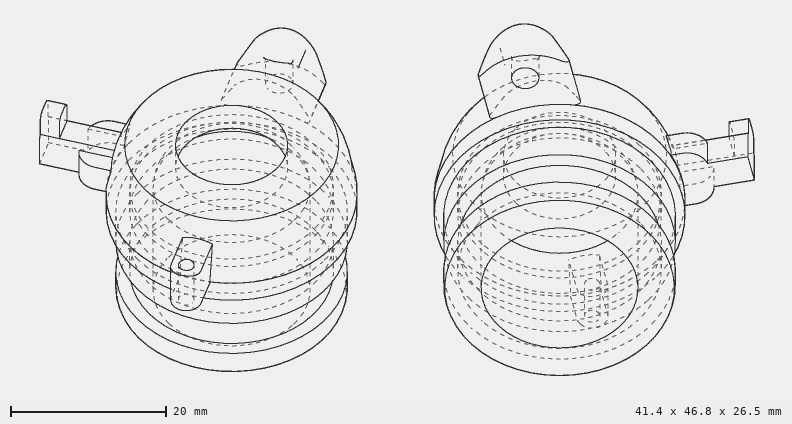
import cadquery as cq
import math

bore_radius = 20.2 / 2
spigot_radius = 26.2 / 2
body_radius = 29.82 / 2
rim_radius = 32.3 / 2

groove_bottom = 3.45
groove_top = 8.95
ring_bottom = 14.4
cap_bottom = 17.5
spigot_top = 18.85
total_height = 26.5

foot_chamfer_width = 0.15
foot_chamfer_height = 0.45

dome_cone_bottom = 18.5
dome_cone_top = 21.5
dome_cone_radius = 15.55
dome_middle = (14.95, 24.1)
dome_top_radius = 27.55 / 2
opening_radius = 14.4 / 2
ceiling_round = 3.5

lug_root = 13.6
lug_top = 23.9

front_lug_radius = 2.0
front_lug_hole_y = -20.0
front_lug_hole_diameter = 2.0
front_lug_edge_height = 23.45

rear_lug_end = 24.8
rear_lug_half_width = 6.0
rear_lug_side_end = 22.05
rear_lug_hole_y = 21.0
rear_lug_hole_diameter = 3.5
rear_lug_hole_round = 1.12
rear_lug_bottom_round = 0.95
rear_roof_side = (rear_lug_half_width, 18.5)
rear_roof_shoulder = (4.35, 21.45)
rear_roof_bend = (3.8, 22.25)
rear_roof_crown_edge = (3.05, 22.85)

lever_y = -0.15
lever_end = -25.2
lever_bottom = 17.75
lever_half_width = 2.0
lever_shoulder_height = 22.05
lever_top = 22.8
tab_length = 2.58
tab_half_width = 1.7
tab_top = 26.35
tab_round = 1.0
wing_end = -19.95
wing_half_width = 4.35
wing_top = 21.75
wing_round = 2.9


def make_sleeve():
    """Grooved tube whose upper spigot carries the ring and the cap."""
    return (
        cq.Workplane("XZ")
        .moveTo(bore_radius, 0)
        .lineTo(body_radius - foot_chamfer_width, 0)
        .lineTo(body_radius, foot_chamfer_height)
        .lineTo(body_radius, groove_bottom)
        .lineTo(spigot_radius, groove_bottom)
        .lineTo(spigot_radius, groove_top)
        .lineTo(body_radius, groove_top)
        .lineTo(body_radius, ring_bottom)
        .lineTo(spigot_radius, ring_bottom)
        .lineTo(spigot_radius, spigot_top)
        .lineTo(bore_radius, spigot_top)
        .close()
        .revolve(360, (0, 0, 0), (0, 1, 0))
    )


def make_ring():
    """Plain ring around the spigot, between the sleeve and the cap."""
    return (
        cq.Workplane("XY", origin=(0, 0, ring_bottom))
        .circle(rim_radius)
        .circle(spigot_radius)
        .extrude(cap_bottom - ring_bottom)
    )


def make_dome():
    """Domed shell with a rounded ceiling and a recess for the spigot."""
    round_center_radius = bore_radius - ceiling_round
    opening_angle = math.acos((opening_radius - round_center_radius) / ceiling_round)

    def ceiling_point(angle):
        return (
            round_center_radius + ceiling_round * math.cos(angle),
            spigot_top + ceiling_round * math.sin(angle),
        )

    return (
        cq.Workplane("XZ")
        .moveTo(spigot_radius, cap_bottom)
        .lineTo(rim_radius, cap_bottom)
        .lineTo(rim_radius, dome_cone_bottom)
        .lineTo(dome_cone_radius, dome_cone_top)
        .threePointArc(dome_middle, (dome_top_radius, total_height))
        .lineTo(opening_radius, total_height)
        .lineTo(*ceiling_point(opening_angle))
        .threePointArc(ceiling_point(opening_angle / 2), ceiling_point(0))
        .lineTo(spigot_radius, spigot_top)
        .lineTo(spigot_radius, cap_bottom)
        .close()
        .revolve(360, (0, 0, 0), (0, 1, 0))
    )


def make_front_lug():
    """Round-ended lug with an arched top and a small vertical hole."""
    plan = (
        cq.Workplane("XY", origin=(0, 0, cap_bottom))
        .moveTo(-front_lug_radius, -lug_root)
        .lineTo(-front_lug_radius, front_lug_hole_y)
        .threePointArc((0, front_lug_hole_y - front_lug_radius), (front_lug_radius, front_lug_hole_y))
        .lineTo(front_lug_radius, -lug_root)
        .close()
        .extrude(lug_top - cap_bottom)
    )
    arch = (
        cq.Workplane("XZ")
        .moveTo(-front_lug_radius, cap_bottom)
        .lineTo(-front_lug_radius, front_lug_edge_height)
        .threePointArc((0, lug_top), (front_lug_radius, front_lug_edge_height))
        .lineTo(front_lug_radius, cap_bottom)
        .close()
        .extrude(front_lug_radius - front_lug_hole_y)
    )
    hole = (
        cq.Workplane("XY", origin=(0, front_lug_hole_y, cap_bottom))
        .circle(front_lug_hole_diameter / 2)
        .extrude(lug_top - cap_bottom)
    )
    return plan.intersect(arch).cut(hole)


def make_rear_lug():
    """Wide roofed lug with a curved end and a hole with a rounded mouth."""
    def mirrored(point):
        return (-point[0], point[1])

    roof = (
        cq.Workplane("XZ", origin=(0, rear_lug_end, 0))
        .moveTo(-rear_lug_half_width, cap_bottom)
        .lineTo(*mirrored(rear_roof_side))
        .lineTo(*mirrored(rear_roof_shoulder))
        .threePointArc(mirrored(rear_roof_bend), mirrored(rear_roof_crown_edge))
        .threePointArc((0, lug_top), rear_roof_crown_edge)
        .threePointArc(rear_roof_bend, rear_roof_shoulder)
        .lineTo(*rear_roof_side)
        .lineTo(rear_lug_half_width, cap_bottom)
        .close()
        .extrude(rear_lug_end - lug_root)
        .edges("|Y and <Z")
        .fillet(rear_lug_bottom_round)
    )
    plan = (
        cq.Workplane("XY", origin=(0, 0, cap_bottom))
        .moveTo(-rear_lug_half_width, lug_root)
        .lineTo(-rear_lug_half_width, rear_lug_side_end)
        .threePointArc((0, rear_lug_end), (rear_lug_half_width, rear_lug_side_end))
        .lineTo(rear_lug_half_width, lug_root)
        .close()
        .extrude(lug_top - cap_bottom)
    )
    hole_radius = rear_lug_hole_diameter / 2
    hole = (
        cq.Workplane("XY", origin=(0, rear_lug_hole_y, cap_bottom))
        .circle(hole_radius)
        .extrude(lug_top - cap_bottom)
    )
    mouth_reach = hole_radius + rear_lug_hole_round / 2
    mouth = cq.selectors.BoxSelector(
        (-mouth_reach, rear_lug_hole_y - mouth_reach, rear_roof_shoulder[1]),
        (mouth_reach, rear_lug_hole_y + mouth_reach, total_height),
        boundingbox=True,
    )
    return roof.intersect(plan).cut(hole).edges(mouth).fillet(rear_lug_hole_round)


def make_lever():
    """Bar with rounded shoulders, a raised end tab and a pair of side wings."""
    shoulder_drop = lever_top - lever_shoulder_height
    shoulder_width = lever_half_width - tab_half_width
    bend_x = tab_half_width + shoulder_width * math.sin(math.pi / 4)
    bend_z = lever_shoulder_height + shoulder_drop * math.sin(math.pi / 4)
    bar = (
        cq.Workplane("YZ", origin=(lever_end, lever_y, 0))
        .moveTo(-lever_half_width, lever_bottom)
        .lineTo(-lever_half_width, lever_shoulder_height)
        .threePointArc((-bend_x, bend_z), (-tab_half_width, lever_top))
        .lineTo(tab_half_width, lever_top)
        .threePointArc((bend_x, bend_z), (lever_half_width, lever_shoulder_height))
        .lineTo(lever_half_width, lever_bottom)
        .close()
        .extrude(-lug_root - lever_end)
    )
    tab = (
        cq.Workplane("XY", origin=(lever_end + tab_length / 2, lever_y, lever_bottom))
        .rect(tab_length, 2 * tab_half_width)
        .extrude(tab_top - lever_bottom)
        .edges("|X and >Z")
        .fillet(tab_round)
    )
    wing_length = -lug_root - wing_end
    wings = (
        cq.Workplane("XY", origin=(wing_end + wing_length / 2, lever_y, lever_bottom))
        .rect(wing_length, 2 * wing_half_width)
        .extrude(wing_top - lever_bottom)
        .edges("|Z and <X")
        .fillet(wing_round)
    )
    return bar.union(tab).union(wings)


def make_cap():
    """Dome joined with its two lugs and its lever."""
    return make_dome().union(make_front_lug()).union(make_rear_lug()).union(make_lever())


sleeve = make_sleeve()
ring = make_ring()
cap = make_cap()

result = cq.Compound.makeCompound([sleeve.val(), ring.val(), *cap.vals()])